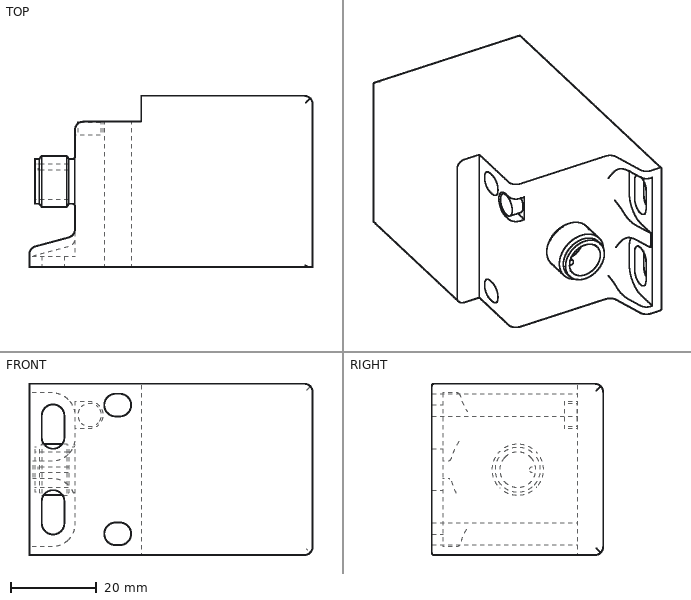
import cadquery as cq
import math

LENGTH = 66.15
DEPTH = 40.0
HEIGHT = 40.0
EDGE_RADIUS = 2.0
MOUNT_EDGE_RADIUS = 0.5

WALL_X = 10.65
STEP_X = 26.1
STEP_Y = 34.0

FOOT_ANGLE = 15.0
FOOT_TIP_Y = 4.5
FOOT_MIDDLE_DROP = 2.05
FOOT_MIDDLE_WIDTH = 19.85
FOOT_PLATE = 2.5

SLOT_WIDTH = 5.2
SLOT_LENGTH = 10.3
SLOT_X = 5.55
SLOT_Z = 10.0
POCKET_LENGTH = 15.95
POCKET_RADIUS = 5.4

HOLE_WIDTH = 5.2
HOLE_LENGTH = 6.2
HOLE_X = 20.65
HOLE_Z = 15.0

CONNECTOR_Y = DEPTH / 2
CONNECTOR_TIP_X = 1.3
THREAD_START_X = 2.3
THREAD_END_X = 9.25
LEAD_IN = 0.6
RUN_OUT = 0.5
NECK_BLEND = 0.5
NECK_DIAMETER = 10.5
THREAD_DIAMETER = 12.0
SOCKET_DIAMETER = 8.35
SOCKET_DEPTH = 7.95
KEY_WIDTH = 1.3
KEY_HEIGHT = 1.45
KEY_START_X = 2.0

LAMP_DIAMETER = 5.4
LAMP_X = 14.0
LAMP_Z = 12.8
LAMP_TOP_Y = 33.8
LAMP_RECESS_WIDTH = 6.3
LAMP_RECESS_FLOOR_Y = 30.9

EMBED = 0.3


def along_y(y):
    """XZ sketch plane at depth y; negative extrusions run towards +Y."""
    return cq.Workplane("XZ", origin=(0, y, 0))


def extruded_block(foot_tip_y, height):
    """Block centred on Z, with its foot slope starting at foot_tip_y."""
    foot_root_y = foot_tip_y + WALL_X * math.tan(math.radians(FOOT_ANGLE))
    outline = [
        (0, 0),
        (LENGTH, 0),
        (LENGTH, DEPTH),
        (STEP_X, DEPTH),
        (STEP_X, STEP_Y),
        (WALL_X, STEP_Y),
        (WALL_X, foot_root_y),
        (0, foot_tip_y),
    ]
    rounded_corners = [
        (0, foot_tip_y, 0),
        (WALL_X, foot_root_y, 0),
        (WALL_X, STEP_Y, 0),
        (LENGTH, DEPTH, 0),
    ]
    block = cq.Workplane("XY").polyline(outline).close().extrude(height / 2, both=True)
    for corner in rounded_corners:
        block = block.edges(cq.selectors.NearestToPointSelector(corner)).fillet(EDGE_RADIUS)
    return block


def make_body():
    """Block whose rounded edges meet in mitred corners, with a lower foot in the middle."""
    block = extruded_block(FOOT_TIP_Y, HEIGHT)

    middle_space = (
        along_y(FOOT_PLATE)
        .center(WALL_X / 2, 0)
        .rect(WALL_X, FOOT_MIDDLE_WIDTH)
        .extrude(FOOT_PLATE - STEP_Y)
        .cut(extruded_block(FOOT_TIP_Y - FOOT_MIDDLE_DROP, HEIGHT))
    )
    block = block.cut(middle_space)

    end_rounding = (
        along_y(0)
        .center(LENGTH / 2, 0)
        .rect(LENGTH, HEIGHT)
        .extrude(-DEPTH)
        .edges("|Y and >X")
        .fillet(EDGE_RADIUS)
    )

    side_rounding = (
        cq.Workplane("XY")
        .box(LENGTH, DEPTH, HEIGHT, centered=(False, False, True))
        .edges("|X and >Y")
        .fillet(EDGE_RADIUS)
        .edges("|X and <Y")
        .fillet(MOUNT_EDGE_RADIUS)
    )
    return block.intersect(end_rounding).intersect(side_rounding)


def make_mounting_cutters():
    """Slots with screw-head pockets open towards -X, and the oblong through holes."""
    cutters = cq.Workplane("XY")
    for side in (-1, 1):
        slot = (
            along_y(0)
            .center(SLOT_X, side * SLOT_Z)
            .slot2D(SLOT_LENGTH, SLOT_WIDTH, 90)
            .extrude(-FOOT_PLATE)
        )
        pocket = (
            along_y(FOOT_PLATE)
            .center(WALL_X / 2, side * SLOT_Z)
            .rect(WALL_X, POCKET_LENGTH)
            .extrude(FOOT_PLATE - STEP_Y)
            .edges("|Y and >X")
            .fillet(POCKET_RADIUS)
        )
        hole = (
            along_y(0)
            .center(HOLE_X, side * HOLE_Z)
            .slot2D(HOLE_LENGTH, HOLE_WIDTH)
            .extrude(-STEP_Y)
        )
        cutters = cutters.add(slot).add(pocket).add(hole)
    return cutters.combine()


def make_connector():
    """Turned sleeve with a thread band, a socket and a coding key inside."""
    neck_r = NECK_DIAMETER / 2
    thread_r = THREAD_DIAMETER / 2
    socket_r = SOCKET_DIAMETER / 2
    socket_floor_x = CONNECTOR_TIP_X + SOCKET_DEPTH
    sleeve = (
        cq.Workplane("XY")
        .moveTo(socket_floor_x, 0)
        .lineTo(socket_floor_x, socket_r)
        .lineTo(CONNECTOR_TIP_X, socket_r)
        .lineTo(CONNECTOR_TIP_X, neck_r)
        .lineTo(THREAD_START_X, neck_r)
        .lineTo(THREAD_START_X + LEAD_IN, thread_r)
        .lineTo(THREAD_END_X - RUN_OUT, thread_r)
        .lineTo(THREAD_END_X, neck_r)
        .lineTo(WALL_X - NECK_BLEND, neck_r)
        .tangentArcPoint((WALL_X, neck_r + NECK_BLEND), relative=False)
        .lineTo(WALL_X + EMBED, neck_r + NECK_BLEND)
        .lineTo(WALL_X + EMBED, 0)
        .close()
        .revolve(360, (0, 0, 0), (1, 0, 0))
    )

    key_centre_y = socket_r - KEY_HEIGHT + KEY_WIDTH / 2
    key = (
        cq.Workplane("YZ", origin=(KEY_START_X, 0, 0))
        .moveTo(key_centre_y, -KEY_WIDTH / 2)
        .lineTo(neck_r - EMBED, -KEY_WIDTH / 2)
        .lineTo(neck_r - EMBED, KEY_WIDTH / 2)
        .lineTo(key_centre_y, KEY_WIDTH / 2)
        .threePointArc((socket_r - KEY_HEIGHT, 0), (key_centre_y, -KEY_WIDTH / 2))
        .close()
        .extrude(socket_floor_x + EMBED - KEY_START_X)
    )
    return sleeve.union(key).translate((0, CONNECTOR_Y, 0))


def make_lamp_recess():
    """Round-bottomed notch in the rounded corner, open towards -X and +Y."""
    return (
        along_y(LAMP_RECESS_FLOOR_Y)
        .center(LAMP_X, LAMP_Z)
        .circle(LAMP_RECESS_WIDTH / 2)
        .extrude(LAMP_RECESS_FLOOR_Y - STEP_Y)
        .union(
            along_y(LAMP_RECESS_FLOOR_Y)
            .center((WALL_X + LAMP_X) / 2, LAMP_Z)
            .rect(LAMP_X - WALL_X, LAMP_RECESS_WIDTH)
            .extrude(LAMP_RECESS_FLOOR_Y - STEP_Y)
        )
    )


def make_lamp():
    """Round lamp standing in its recess, just below the step face."""
    return (
        along_y(LAMP_RECESS_FLOOR_Y - EMBED)
        .center(LAMP_X, LAMP_Z)
        .circle(LAMP_DIAMETER / 2)
        .extrude(LAMP_RECESS_FLOOR_Y - EMBED - LAMP_TOP_Y)
    )


result = (
    make_body()
    .cut(make_mounting_cutters())
    .cut(make_lamp_recess())
    .union(make_lamp())
    .union(make_connector())
)